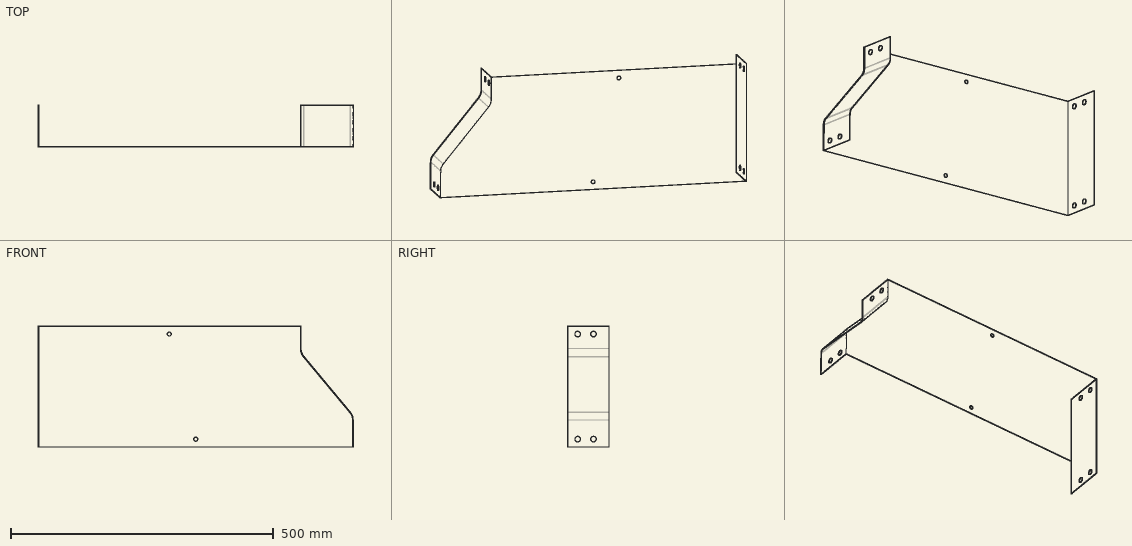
import cadquery as cq
import math

length = 600.0
depth = 80.0
height = 230.0
sheet = 1.5

upper_edge_x = 500.5
upper_corner_z = 179.0
lower_corner_x = 599.5
lower_corner_z = 60.0
bend_radius = 23.0

panel_hole_diameter = 7.0
flange_hole_diameter = 10.0
hole_margin = 15.0
upper_panel_hole_x = 249.5
lower_panel_hole_x = 300.0
flange_hole_ys = (20.0, 50.0)
hole_zs = (hole_margin, height - hole_margin)


def shift_left(start, end, distance):
    """Move a line sideways, towards smaller X for a line running down."""
    dx = end[0] - start[0]
    dz = end[1] - start[1]
    run = math.hypot(dx, dz)
    offset_x = dz / run * distance
    offset_z = -dx / run * distance
    return (
        (start[0] + offset_x, start[1] + offset_z),
        (end[0] + offset_x, end[1] + offset_z),
    )


def meet(first, second):
    """Point where two lines, each given by two points, cross."""
    (ax, az), (bx, bz) = first
    (cx, cz), (dx, dz) = second
    cross = (bx - ax) * (dz - cz) - (bz - az) * (dx - cx)
    t = ((cx - ax) * (dz - cz) - (cz - az) * (dx - cx)) / cross
    return (ax + t * (bx - ax), az + t * (bz - az))


def at_height(line, z):
    """Point on a line at the given height."""
    return meet(line, ((0, z), (length, z)))


def side_body(inset, upper_radius, lower_radius):
    """Full-depth block bounded by the right side moved inward by inset."""
    corners = [
        (upper_edge_x, height),
        (upper_edge_x, upper_corner_z),
        (lower_corner_x, lower_corner_z),
        (length, 0),
    ]
    upper, slope, lower = [
        shift_left(start, end, inset) for start, end in zip(corners, corners[1:])
    ]
    upper_corner = meet(upper, slope)
    lower_corner = meet(slope, lower)
    outline = [
        (0, 0),
        (0, height),
        at_height(upper, height),
        upper_corner,
        lower_corner,
        at_height(lower, 0),
    ]
    body = cq.Workplane("XZ").polyline(outline).close().extrude(-depth)
    for (x, z), radius in ((upper_corner, upper_radius), (lower_corner, lower_radius)):
        edge = cq.selectors.NearestToPointSelector((x, depth / 2, z))
        body = body.edges("|Y").edges(edge).fillet(radius)
    return body


outer = side_body(0, bend_radius, bend_radius)
inner = side_body(sheet, bend_radius + sheet, bend_radius - sheet)
left_clearance = cq.Workplane("XY").box(length, depth, height, centered=False)
left_clearance = left_clearance.translate((sheet, sheet, 0))
bracket = outer.cut(inner.intersect(left_clearance))

panel_holes = (
    cq.Workplane("XZ")
    .pushPoints([(lower_panel_hole_x, hole_margin), (upper_panel_hole_x, height - hole_margin)])
    .circle(panel_hole_diameter / 2)
    .extrude(-depth)
)

flange_holes = (
    cq.Workplane("YZ")
    .pushPoints([(y, z) for y in flange_hole_ys for z in hole_zs])
    .circle(flange_hole_diameter / 2)
    .extrude(length)
)

result = bracket.cut(panel_holes).cut(flange_holes)